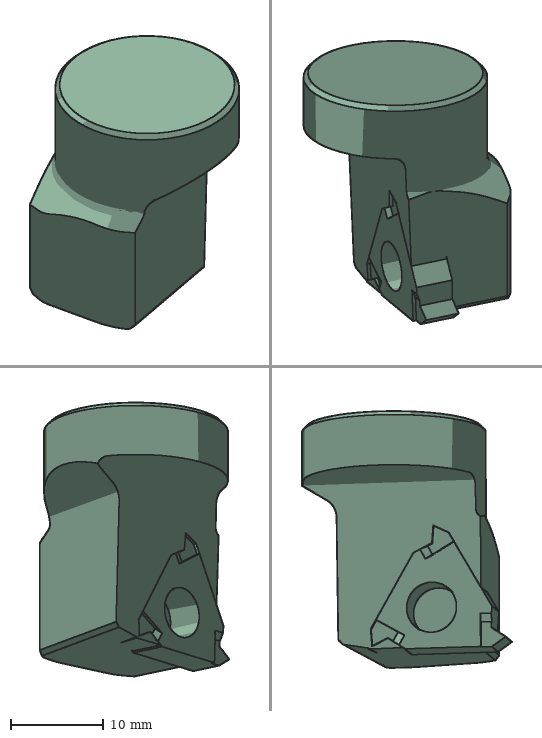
import cadquery as cq
import math

HEIGHT = 25.0
SHANK_RADIUS = 10.0
SHANK_CHAMFER = 0.5
SHOULDER_Z = 14.68
SHOULDER_SLOPE = 0.8
SHOULDER_FILLET = 1.0
SHOULDER_OUTER_RADIUS = 15.0

FRONT_Y = -11.48
CORNER_Y = -10.35
HEAD_RIGHT_X = 5.25
CORNER_LEFT_X = -8.45
FLAT_LEFT_X = -4.85
FLAT_RIGHT_X = 1.1
BEVEL_ANGLE = 25.0
BEVEL_END_X = -6.93
BACK_MARGIN = 15.0

TURN = math.radians(9.6)
TIP = math.radians(2.3)
WALL_Y = 2.38
CEILING_Z = 18.95
CEILING_FILLET = 1.25

BOTTOM_Z = 0.25
BOTTOM_CHAMFER = 0.5
FACET_START_X = 2.0
FACET_END_Z = 0.75
RELIEF_ANGLE = 32.0
RELIEF_FILLET = 2.2

INSERT_THICKNESS = 4.25
INSERT_CENTER = (-5.58, 5.0)
TOOTH_TIP = (-13.1, 1.05)
TOOTH_HEEL = (-11.55, 0.0)
TOOTH_ROOT = (-11.5, 2.15)
SHOULDER_TOP = (-11.65, 4.43)
TEETH = 3
SCREW_HOLE_RADIUS = 2.75
SCREW_HOLE_CENTER = (-5.0, 4.5)
RAKE_STEP = 0.38
RAKE_STEP_LOW = 2.75
RAKE_STEP_HIGH = 3.63
RAKE_STEP_X = -10.38

into_head = cq.Vector(
    math.sin(TURN) * math.cos(TIP), -math.cos(TURN) * math.cos(TIP), math.sin(TIP)
)
across = cq.Vector(math.cos(TURN), math.sin(TURN), 0)
rake_plane = cq.Plane(origin=(0, WALL_Y, 0), xDir=across, normal=into_head)


def make_shank_and_shoulder():
    """Revolved envelope: chamfered shank, filleted neck and conical shoulder."""
    rim_z = SHOULDER_Z - SHOULDER_SLOPE * (SHOULDER_OUTER_RADIUS - SHANK_RADIUS)
    cone_turn = math.pi / 2 - math.atan(SHOULDER_SLOPE)
    tangent = SHOULDER_FILLET * math.tan(cone_turn / 2)
    center_r = SHANK_RADIUS + SHOULDER_FILLET
    neck_top = SHOULDER_Z + tangent
    mid = (
        center_r - SHOULDER_FILLET * math.cos(cone_turn / 2),
        neck_top - SHOULDER_FILLET * math.sin(cone_turn / 2),
    )
    end = (
        center_r - SHOULDER_FILLET * math.cos(cone_turn),
        neck_top - SHOULDER_FILLET * math.sin(cone_turn),
    )
    return (
        cq.Workplane("XZ")
        .moveTo(0, 0)
        .lineTo(0, HEIGHT)
        .lineTo(SHANK_RADIUS - SHANK_CHAMFER, HEIGHT)
        .lineTo(SHANK_RADIUS, HEIGHT - SHANK_CHAMFER)
        .lineTo(SHANK_RADIUS, neck_top)
        .threePointArc(mid, end)
        .lineTo(SHOULDER_OUTER_RADIUS, rim_z)
        .lineTo(SHOULDER_OUTER_RADIUS, 0)
        .close()
        .revolve(360, (0, 0), (0, 1))
    )


def make_underside():
    """Space below the head: a tipped floor and a sloping facet towards +X."""
    rise = BACK_MARGIN * math.tan(TIP)
    floor = (
        cq.Workplane("YZ")
        .polyline([
            (-BACK_MARGIN, BOTTOM_Z + rise),
            (BACK_MARGIN, BOTTOM_Z - rise),
            (BACK_MARGIN, -BACK_MARGIN),
            (-BACK_MARGIN, -BACK_MARGIN),
        ])
        .close()
        .extrude(BACK_MARGIN, both=True)
    )
    facet = (
        cq.Workplane("XZ")
        .polyline([
            (FACET_START_X, 0),
            (FACET_START_X, BOTTOM_Z),
            (HEAD_RIGHT_X - BOTTOM_CHAMFER, FACET_END_Z),
            (HEAD_RIGHT_X, FACET_END_Z + BOTTOM_CHAMFER),
            (HEAD_RIGHT_X, 0),
        ])
        .close()
        .extrude(BACK_MARGIN, both=True)
    )
    return floor.union(facet)


def make_head_prism():
    """Upright prism of the head's plan outline, tall enough to enclose the neck."""
    bevel_end_y = CORNER_Y - (BEVEL_END_X - CORNER_LEFT_X) * math.tan(math.radians(BEVEL_ANGLE))
    back_left_x = CORNER_LEFT_X - (BACK_MARGIN - CORNER_Y) * math.tan(TURN)
    return (
        cq.Workplane("XY")
        .moveTo(HEAD_RIGHT_X, BACK_MARGIN)
        .lineTo(back_left_x, BACK_MARGIN)
        .lineTo(CORNER_LEFT_X, CORNER_Y)
        .lineTo(BEVEL_END_X, bevel_end_y)
        .tangentArcPoint((FLAT_LEFT_X, FRONT_Y), relative=False)
        .lineTo(FLAT_RIGHT_X, FRONT_Y)
        .tangentArcPoint((HEAD_RIGHT_X, CORNER_Y), relative=False)
        .close()
        .extrude(CEILING_Z)
        .cut(make_underside())
        .edges(cq.selectors.NearestToPointSelector((CORNER_LEFT_X, CORNER_Y / 2, BOTTOM_Z)))
        .chamfer(BOTTOM_CHAMFER)
    )


def make_rake_clearance():
    """Space behind the rake wall, below a flat ceiling with a filleted corner."""
    lean = math.tan(TIP)
    profile = cq.Plane(origin=(0, WALL_Y, 0), xDir=(-across.y, across.x, 0), normal=across)
    low = -BACK_MARGIN
    return (
        cq.Workplane(profile)
        .polyline([
            (low * lean, low),
            (CEILING_Z * lean, CEILING_Z),
            (2 * BACK_MARGIN, CEILING_Z),
            (2 * BACK_MARGIN, low),
        ])
        .close()
        .extrude(2 * BACK_MARGIN, both=True)
        .edges(cq.selectors.NearestToPointSelector((0, WALL_Y + CEILING_Z * lean, CEILING_Z)))
        .fillet(CEILING_FILLET)
    )


def make_side_relief():
    """Space on +X beside the head, under a sloping filleted ceiling."""
    slope = math.tan(math.radians(RELIEF_ANGLE))
    corner_z = CEILING_Z - slope * (SHANK_RADIUS - HEAD_RIGHT_X)
    outer_z = corner_z + slope * (BACK_MARGIN - HEAD_RIGHT_X)
    return (
        cq.Workplane("XZ")
        .polyline([
            (HEAD_RIGHT_X, -BACK_MARGIN),
            (HEAD_RIGHT_X, corner_z),
            (BACK_MARGIN, outer_z),
            (BACK_MARGIN, -BACK_MARGIN),
        ])
        .close()
        .extrude(BACK_MARGIN, both=True)
        .edges(cq.selectors.NearestToPointSelector((HEAD_RIGHT_X, 0, corner_z)))
        .fillet(RELIEF_FILLET)
    )


def make_holder():
    shank = (
        cq.Workplane("XY")
        .workplane(offset=SHOULDER_Z)
        .circle(SHANK_RADIUS)
        .extrude(HEIGHT - SHOULDER_Z)
    )
    body = make_shank_and_shoulder().intersect(shank.union(make_head_prism()))
    return body.cut(make_rake_clearance()).cut(make_side_relief())


def turned(point, step):
    """Point turned about the insert center by a number of tooth pitches."""
    angle = step * 2 * math.pi / TEETH
    dx = point[0] - INSERT_CENTER[0]
    dy = point[1] - INSERT_CENTER[1]
    return (
        INSERT_CENTER[0] + dx * math.cos(angle) - dy * math.sin(angle),
        INSERT_CENTER[1] + dx * math.sin(angle) + dy * math.cos(angle),
    )


def make_insert_blank():
    """Three-toothed plate lying against the rake wall."""
    tooth = [SHOULDER_TOP, TOOTH_ROOT, TOOTH_TIP, TOOTH_HEEL]
    outline = [turned(point, step) for step in range(TEETH) for point in tooth]
    return cq.Workplane(rake_plane).polyline(outline).close().extrude(INSERT_THICKNESS)


def make_insert(blank):
    insert = blank.cut(
        cq.Workplane(rake_plane)
        .center(*SCREW_HOLE_CENTER)
        .circle(SCREW_HOLE_RADIUS)
        .extrude(INSERT_THICKNESS)
    )
    low = -RAKE_STEP_HIGH
    step_end = rake_plane.toWorldCoords((RAKE_STEP_X, 0, 0))
    side_plane = cq.Plane(origin=step_end, xDir=into_head, normal=-across)
    ramp = (
        cq.Workplane(side_plane)
        .polyline([(0, low), (0, RAKE_STEP_HIGH), (RAKE_STEP, RAKE_STEP_LOW), (RAKE_STEP, low)])
        .close()
        .extrude(BACK_MARGIN)
    )
    center = rake_plane.toWorldCoords((*INSERT_CENTER, 0))
    for step in range(TEETH):
        turn = step * 360 / TEETH
        insert = insert.cut(ramp.rotate(center.toTuple(), (center + into_head).toTuple(), turn))
    return insert


insert_blank = make_insert_blank()
holder = make_holder().cut(insert_blank)
insert = make_insert(insert_blank)

result = cq.Compound.makeCompound([holder.val(), insert.val()])